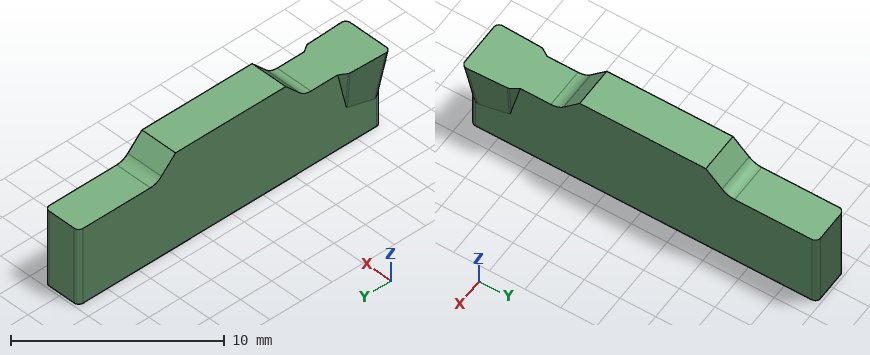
import cadquery as cq
import math

total_length = 19.68
total_height = 5.77
ledge_height = 4.57
body_width = 2.3
body_front = 0.25
corner_radius = 0.3

hump_center = 9.92
hump_top_length = 7.07
ramp_angle = math.radians(45)
foot_radius = 1.0
hump_rise = total_height - ledge_height

edge_width = 3.07
shoulder_width = 2.9
shoulder_y = 2.58
neck_y = 3.05
root_width = 1.18
relief_angle = 7.3
head_depth = 3.15
shoulder_radius = 0.2


def make_body():
    """Narrow bar with square ledges and rounded vertical corners."""
    return (
        cq.Workplane("XY")
        .box(body_width, total_length - body_front, ledge_height, centered=(True, False, False))
        .translate((0, body_front, 0))
        .edges("|Z")
        .fillet(corner_radius)
    )


def make_hump():
    """Trapezoid across the bar, blended into the ledges by tangent arcs."""
    half_top = hump_top_length / 2
    half_foot = half_top + hump_rise / math.tan(ramp_angle)
    tangent = foot_radius * math.tan(ramp_angle / 2)
    half_arc_end = half_foot + tangent
    half_arc_start = half_foot - tangent * math.cos(ramp_angle)
    arc_start_z = ledge_height + tangent * math.sin(ramp_angle)
    half_arc_mid = half_arc_end - foot_radius * math.sin(ramp_angle / 2)
    arc_mid_z = ledge_height + foot_radius * (1 - math.cos(ramp_angle / 2))
    return (
        cq.Workplane("YZ", origin=(0, hump_center, 0))
        .moveTo(-half_arc_end, 0)
        .lineTo(-half_arc_end, ledge_height)
        .threePointArc((-half_arc_mid, arc_mid_z), (-half_arc_start, arc_start_z))
        .lineTo(-half_top, total_height)
        .lineTo(half_top, total_height)
        .lineTo(half_arc_start, arc_start_z)
        .threePointArc((half_arc_mid, arc_mid_z), (half_arc_end, ledge_height))
        .lineTo(half_arc_end, 0)
        .close()
        .extrude(body_width / 2, both=True)
    )


def round_slanted_edges(head, y_min, y_max, radius):
    """Round the corner edges running down the head whose middles lie between two Y values."""
    slanted = head.edges("not(#Z)").vals()
    chosen = [edge for edge in slanted if y_min < edge.Center().y < y_max]
    return head.newObject(chosen).fillet(radius)


def make_head():
    """Head outline tapered downwards for relief on every side."""
    flare_slope = (neck_y - shoulder_y) / (shoulder_width - body_width)
    root_y = neck_y + flare_slope * (body_width - root_width)
    right_side = [
        (edge_width / 2, 0),
        (shoulder_width / 2, shoulder_y),
        (root_width / 2, root_y),
    ]
    left_side = [(-x, y) for x, y in reversed(right_side)]
    head = (
        cq.Workplane("XY", origin=(0, 0, ledge_height))
        .polyline(right_side + left_side)
        .close()
        .extrude(-head_depth, taper=relief_angle)
    )
    head = round_slanted_edges(head, 0, shoulder_y / 2, corner_radius)
    return round_slanted_edges(head, shoulder_y / 2, (shoulder_y + neck_y) / 2, shoulder_radius)


result = make_body().union(make_hump()).union(make_head())